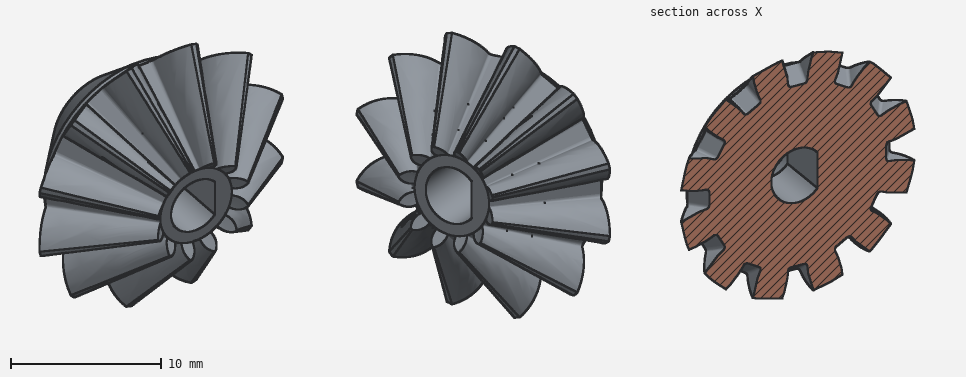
import cadquery as cq
import math

tooth_count = 12
apex_x = 14.99
face_ratio = 0.37

hub_radius = 4.0
rim_radius = 7.43
rim_start_x = 4.05
rim_end_x = 4.45

root_x = 4.78
root_radius = 7.74
tip_x = 7.04
tip_radius = 10.04

bore_radius = 2.0
bore_flat_offset = 1.5
recess_mouth_radius = 3.0
recess_floor_radius = 2.45
recess_depth = 2.0

space_half_width = 0.82
root_fillet = 0.25
flank_middle = (1.46, 10.43)
flank_end = (3.24, 12.65)
outward_stretch = 1.2
cut_start_x = 4.29
cut_end_x = 12.47


def toward_apex(x, radius):
    """Small-end point matching a large-end point."""
    return apex_x - (apex_x - x) * face_ratio, radius * face_ratio


def make_blank():
    return (
        cq.Workplane("XY")
        .moveTo(0, 0)
        .lineTo(0, hub_radius)
        .lineTo(rim_start_x, rim_radius)
        .lineTo(rim_end_x, rim_radius)
        .lineTo(tip_x, tip_radius)
        .lineTo(*toward_apex(tip_x, tip_radius))
        .lineTo(*toward_apex(root_x, root_radius))
        .lineTo(toward_apex(root_x, root_radius)[0], 0)
        .close()
        .revolve(360, (0, 0), (1, 0))
    )


def space_wire(x):
    """Outline of one tooth space at x, scaled about the apex."""
    scale = (apex_x - x) / (apex_x - root_x)

    def point(side, half_width, height):
        return cq.Vector(x, side * half_width * scale, height * scale)

    diagonal = root_fillet * math.sqrt(0.5)
    fillet_width = space_half_width - root_fillet
    fillet_height = root_radius + root_fillet
    outer = (flank_end[0] * outward_stretch, flank_end[1] * outward_stretch)

    edges = []
    for side in (-1, 1):
        floor_end = point(side, fillet_width, root_radius)
        fillet_middle = point(side, fillet_width + diagonal, fillet_height - diagonal)
        flank_start = point(side, space_half_width, fillet_height)
        tip = point(side, *flank_end)
        edges.append(cq.Edge.makeThreePointArc(floor_end, fillet_middle, flank_start))
        edges.append(cq.Edge.makeThreePointArc(flank_start, point(side, *flank_middle), tip))
        edges.append(cq.Edge.makeLine(tip, point(side, *outer)))
    edges.append(cq.Edge.makeLine(point(-1, fillet_width, root_radius), point(1, fillet_width, root_radius)))
    edges.append(cq.Edge.makeLine(point(-1, *outer), point(1, *outer)))
    return cq.Wire.assembleEdges(cq.Wire.combine(edges)[0].Edges())


def cut_tooth_spaces(gear):
    space = cq.Solid.makeLoft([space_wire(cut_start_x), space_wire(cut_end_x)], True)
    for index in range(tooth_count):
        angle = index * 360 / tooth_count
        gear = gear.cut(cq.Workplane(space.rotate(cq.Vector(0, 0, 0), cq.Vector(1, 0, 0), angle)))
    return gear


def make_bore():
    """D-shaped through hole with its flat on the +Y side."""
    flat_half_length = math.sqrt(bore_radius**2 - bore_flat_offset**2)
    return (
        cq.Workplane("YZ")
        .moveTo(bore_flat_offset, flat_half_length)
        .threePointArc((-bore_radius, 0), (bore_flat_offset, -flat_half_length))
        .close()
        .extrude(apex_x)
    )


def make_recess():
    """Tapered recess in the hub face."""
    return cq.Workplane(
        cq.Solid.makeCone(
            recess_mouth_radius, recess_floor_radius, recess_depth, cq.Vector(0, 0, 0), cq.Vector(1, 0, 0)
        )
    )


result = cut_tooth_spaces(make_blank()).cut(make_bore()).cut(make_recess())